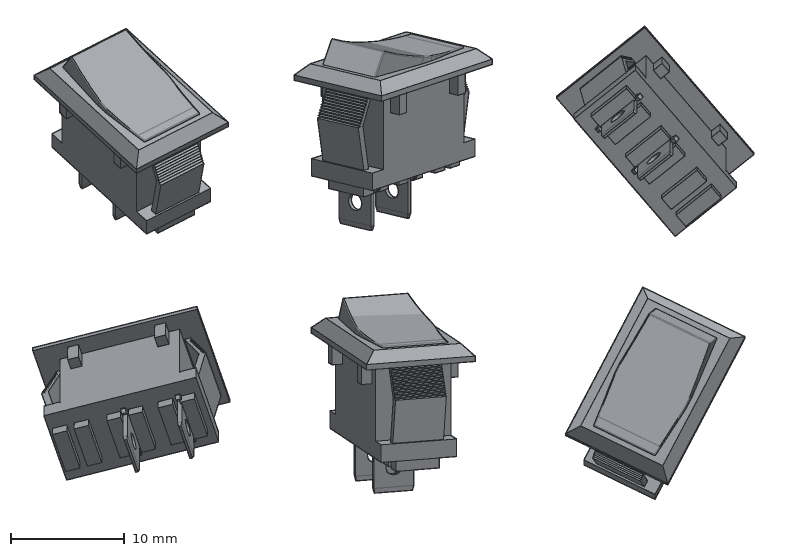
import cadquery as cq
import math


bezel_length = 15.1
bezel_width = 10.1
bezel_height = 1.5
bezel_chamfer = 1.0

body_length = 11.0
body_width = 7.02
base_length = 13.98
base_top = -7.0
base_height = 1.6
base_bottom = base_top - base_height

stop_size = 1.0
stop_height = 2.03
stop_x = 4.0

clip_width = 4.73
clip_tooth_count = 13
clip_tip_x = bezel_length / 2
clip_tip_z = -2.95
clip_top_tip_x = 6.27
clip_top_tip_z = -0.22
clip_top_x = 6.2
clip_top_inner_x = 5.59
clip_bottom_x = 6.79
clip_thickness = 0.63
tooth_depth = 0.28
tooth_undercut = 0.05

foot_pairs = [(-4.75, 0.67, 1.33), (0.0, 0.73, 1.26), (4.98, 0.67, 1.33)]
foot_width = 4.05
foot_height = 1.0

terminal_positions = [-5.0, 0.0]
terminal_thickness = 0.42
terminal_width = 3.71
terminal_tip_z = -13.05
terminal_tip_height = 0.47
terminal_tip_inset = 0.1
terminal_hole_diameter = 1.5
terminal_hole_z = -10.73

barb_reach = 2.56
barb_drop = 0.45
barb_flat = 0.1
barb_end = 0.3
barb_strip = 0.42

rocker_half_span = 6.05
rocker_half_length = 5.01
rocker_width = 7.02
rocker_end_width = 6.09
rocker_tilt = 30
rocker_low_z = 1.63
rocker_peak_z = 3.63
rocker_radius = 25.8
rocker_fillet = 0.1
rocker_root_depth = 0.5
rocker_root_z = bezel_height - rocker_root_depth


def block(length, width, height, x, y, top_z):
    """Box centred on (x, y) hanging down from top_z."""
    return cq.Workplane("XY").box(length, width, height, centered=(True, True, False)).translate(
        (x, y, top_z - height)
    )


def make_bezel():
    plate = block(bezel_length, bezel_width, bezel_height, 0, 0, bezel_height)
    return plate.faces(">Z").edges().chamfer(bezel_chamfer)


def make_housing():
    body = block(body_length, body_width, -base_top, 0, 0, 0)
    base = block(base_length, body_width, base_height, 0, 0, base_top)
    housing = body.union(base)
    stop_y = (body_width + stop_size) / 2
    for x in (-stop_x, stop_x):
        for y in (-stop_y, stop_y):
            housing = housing.union(block(stop_size, stop_size, stop_height, x, y, 0))
    return housing


def make_clip():
    """Bent spring arm on the +X side, with saw teeth on its upper outer face."""
    steps = clip_tooth_count - 1
    pitch_x = (clip_tip_x - clip_top_tip_x) / steps
    pitch_z = (clip_tip_z - clip_top_tip_z) / steps
    outline = [(clip_top_inner_x, 0), (clip_top_x, 0), (clip_top_tip_x, clip_top_tip_z)]
    for i in range(1, clip_tooth_count):
        tip_x = clip_top_tip_x + i * pitch_x
        tip_z = clip_top_tip_z + i * pitch_z
        outline.append((tip_x - tooth_depth, tip_z + tooth_undercut))
        outline.append((tip_x, tip_z))
    outline.append((clip_bottom_x, base_top))
    outline.append((clip_bottom_x - clip_thickness, base_top))
    outline.append((clip_tip_x - clip_thickness, clip_tip_z))
    return cq.Workplane("XZ").polyline(outline).close().extrude(clip_width / 2, both=True)


def make_feet():
    feet = cq.Workplane("XY")
    for centre_x, gap, length in foot_pairs:
        offset = (gap + length) / 2
        for x in (centre_x - offset, centre_x + offset):
            feet = feet.add(block(length, foot_width, foot_height, x, 0, base_bottom))
    return feet.combine()


def make_barb():
    """Strip slanting down at 45 degrees from the base, on the +Y edge of a terminal at X = 0."""
    upper_z = base_bottom - barb_drop
    lower_z = upper_z - barb_flat
    end_y = barb_reach - barb_end
    end_z = lower_z - barb_end
    outline = [
        (barb_reach - barb_drop, base_bottom),
        (barb_reach, upper_z),
        (barb_reach, lower_z),
        (end_y, end_z),
        (end_y - barb_strip, end_z + barb_strip),
        (end_y - barb_strip, base_bottom),
    ]
    return cq.Workplane("YZ").polyline(outline).close().extrude(terminal_thickness / 2, both=True)


def make_terminal():
    tip_top_z = terminal_tip_z + terminal_tip_height
    blade = block(terminal_thickness, terminal_width, base_bottom - tip_top_z, 0, 0, base_bottom)
    tip = (
        cq.Workplane("XY", origin=(0, 0, terminal_tip_z))
        .rect(terminal_thickness - 2 * terminal_tip_inset, terminal_width - 2 * terminal_tip_inset)
        .workplane(offset=terminal_tip_height)
        .rect(terminal_thickness, terminal_width)
        .loft(ruled=True)
    )
    hole = (
        cq.Workplane("YZ", origin=(0, 0, terminal_hole_z))
        .circle(terminal_hole_diameter / 2)
        .extrude(terminal_thickness, both=True)
    )
    barb = make_barb()
    return blade.union(tip).cut(hole).union(barb).union(barb.mirror("XZ"))


def taper_cutter(plane):
    """Two wedges that narrow one half of the rocker from its pivot (plane origin) to its end (+x)."""
    half_width = rocker_width / 2
    end_half_width = rocker_end_width / 2
    slope = (half_width - end_half_width) / rocker_half_length
    reach = 2 * rocker_half_length
    cutters = cq.Workplane(plane)
    for side in (-1, 1):
        triangle = [
            (0, side * half_width),
            (reach, side * half_width),
            (reach, side * (half_width - slope * reach)),
        ]
        cutters = cutters.add(
            cq.Workplane(plane).polyline(triangle).close().extrude(rocker_half_span, both=True)
        )
    return cutters.combine()


def make_rocker():
    """Rocker tipped to -X: a concave top, and two tapered halves leaning 30 degrees apart."""
    tilt = math.radians(rocker_tilt)
    lean = math.tan(tilt)
    peak_x = -rocker_half_span + (rocker_peak_z - bezel_height) * lean
    root_x = -rocker_half_span + (rocker_root_z - bezel_height) * lean
    rise = rocker_peak_z - rocker_low_z
    flat_x = peak_x + math.sqrt(2 * rocker_radius * rise - rise**2)
    middle_x = (peak_x + flat_x) / 2
    middle_z = rocker_low_z + rocker_radius - math.sqrt(rocker_radius**2 - (flat_x - middle_x) ** 2)
    rocker = (
        cq.Workplane("XZ")
        .moveTo(root_x, rocker_root_z)
        .lineTo(peak_x, rocker_peak_z)
        .threePointArc((middle_x, middle_z), (flat_x, rocker_low_z))
        .lineTo(rocker_half_span, rocker_low_z)
        .lineTo(rocker_half_span, rocker_root_z)
        .close()
        .extrude(rocker_width / 2, both=True)
    )

    low_pivot_x = rocker_half_span - rocker_half_length
    high_pivot_x = -rocker_half_span + rocker_half_length / math.cos(tilt)
    low_plane = cq.Plane(origin=(low_pivot_x, 0, bezel_height))
    high_plane = cq.Plane(
        origin=(high_pivot_x, 0, bezel_height),
        xDir=(-math.cos(tilt), 0, math.sin(tilt)),
        normal=(math.sin(tilt), 0, math.cos(tilt)),
    )
    rocker = rocker.cut(taper_cutter(low_plane)).cut(taper_cutter(high_plane))

    rim_zone = cq.selectors.BoxSelector(
        (-rocker_half_span, -rocker_width, rocker_low_z - rocker_fillet / 2),
        (rocker_half_span, rocker_width, rocker_peak_z + rocker_fillet),
    )
    end_edges = rocker.faces("<X or >X").edges("not <Z")
    return end_edges.add(rocker.edges(rim_zone)).fillet(rocker_fillet)


clip = make_clip()
result = make_bezel().union(make_housing()).union(make_rocker())
result = result.union(clip).union(clip.mirror("YZ")).union(make_feet())
terminal = make_terminal()
for terminal_x in terminal_positions:
    result = result.union(terminal.translate((terminal_x, 0, 0)))